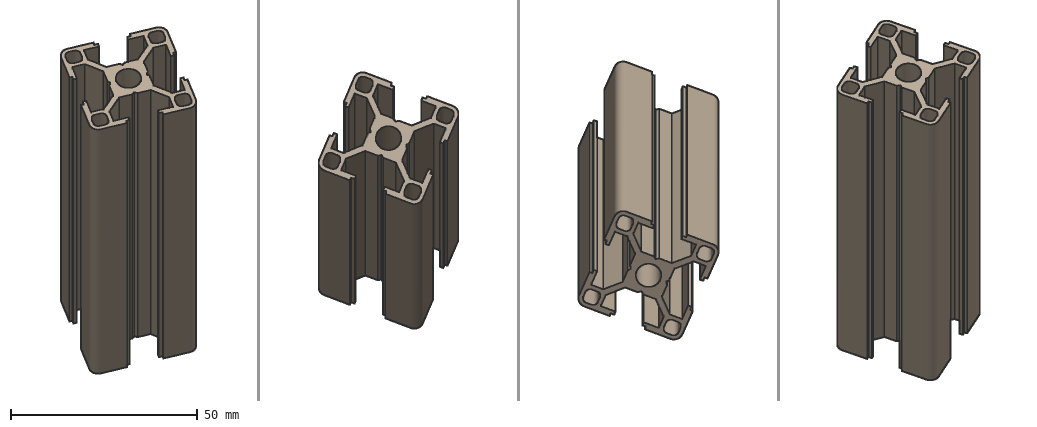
import cadquery as cq
import math

side = 30.0
length = 100.0
corner_radius = 2.5

slot_opening = 8.2
recess_width = 10.2
recess_depth = 0.8
lip_thickness = 1.8

cell_size = 4.2
cell_radius = 1.4
cell_wall = 1.2

core_size = 11.4
rib_thickness = 1.8
bore_diameter = 6.8
groove_width = 1.5
groove_depth = 0.6

half_side = side / 2
half_core = core_size / 2
cell_center = half_side - cell_wall - cell_size / 2
slot_half_width = cell_center - cell_size / 2 - cell_wall
rib_offset = rib_thickness / math.sqrt(2)


def slot_cutter():
    """T-slot on the +Y side: stepped mouth, wide chamber, tapered floor with a V groove."""
    recess_floor = half_side - recess_depth
    lip_inner = half_side - lip_thickness
    right_half = [
        (groove_width / 2, half_core),
        (half_core - rib_offset, half_core),
        (slot_half_width, slot_half_width + rib_offset),
        (slot_half_width, lip_inner),
        (slot_opening / 2, lip_inner),
        (slot_opening / 2, recess_floor),
        (recess_width / 2, recess_floor),
        (recess_width / 2, half_side),
    ]
    left_half = [(-x, y) for x, y in reversed(right_half)]
    groove_bottom = (0, half_core - groove_depth)
    outline = [groove_bottom] + right_half + left_half
    return cq.Workplane("XY").polyline(outline).close().extrude(length)


def corner_cells():
    """Four rounded square cores, one in each corner."""
    spacing = 2 * cell_center
    return (
        cq.Workplane("XY")
        .rarray(spacing, spacing, 2, 2)
        .rect(cell_size, cell_size)
        .extrude(length)
        .edges("|Z")
        .fillet(cell_radius)
    )


bar = cq.Workplane("XY").rect(side, side).extrude(length)
bar = bar.edges("|Z").fillet(corner_radius)

slot = slot_cutter()
for quarter_turn in range(4):
    bar = bar.cut(slot.rotate((0, 0, 0), (0, 0, 1), 90 * quarter_turn))

bar = bar.cut(corner_cells())

bore = cq.Workplane("XY").circle(bore_diameter / 2).extrude(length)
result = bar.cut(bore)